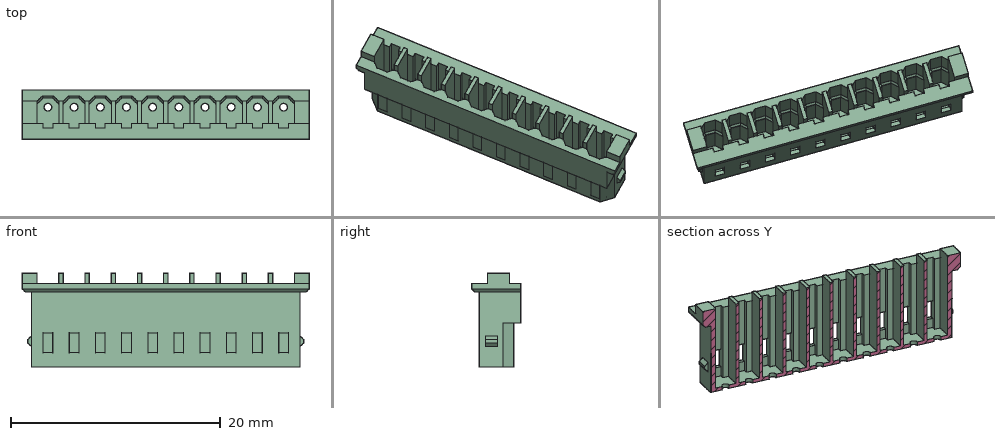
import cadquery as cq
import math


contact_count = 10
contact_row_span = 22.5
pitch = contact_row_span / (contact_count - 1)

length = 27.4
depth = 4.7
height = 9.0

flange_top = 8.0
flange_bottom = 7.18
flange_chamfer = 0.3

body_length = 25.67
body_front = 0.7
step_height = 4.22
step_depth = 0.68
step_corner_chamfer = 1.05
lower_back = depth - step_depth

ridge_front = 1.5
ridge_depth = 2.15
ridge_back = ridge_front + ridge_depth

divider_width = 0.38
pocket_width = pitch - divider_width
pocket_corner_chamfer = 0.52
pocket_back = 4.15
pocket_floor = 0.4
ledge_height = 4.65
ledge_width = 0.2
pin_hole_diameter = 0.7
pin_hole_y = 3.07

slot_width = 0.93
slot_front = 1.1
window_bottom = 1.4
window_height = 1.9

bump_reach = 0.35
bump_front = 1.32
bump_width = 1.18
bump_bottom = 1.97
bump_height = 1.01

contact_xs = [(i - (contact_count - 1) / 2) * pitch for i in range(contact_count)]


def box(width, front, back, bottom, top):
    """Box centred on X = 0, between the given Y and Z limits."""
    block = cq.Workplane("XY").box(width, back - front, top - bottom, centered=(True, False, False))
    return block.translate((0, front, bottom))


def make_flange():
    """Flange plate, bevelled under its front and its two ends."""
    plate = box(length, 0, depth, flange_bottom, flange_top)
    return plate.faces("<Z").edges("<Y or <X or >X").chamfer(flange_chamfer)


def make_body():
    """Full-depth upper body on a shallower lower body with bevelled rear corners."""
    upper = box(body_length, body_front, depth, step_height, flange_bottom)
    lower = box(body_length, body_front, lower_back, 0, step_height)
    lower = lower.edges("|Z and >Y").chamfer(step_corner_chamfer)
    return upper.union(lower)


def make_bump(side):
    """Snap bump on one end; side is -1 or +1."""
    root = side * body_length / 2
    tip = root + side * bump_reach
    bump_top = bump_bottom + bump_height
    profile = [
        (root, bump_bottom),
        (tip, bump_bottom + bump_reach),
        (tip, bump_top - bump_reach),
        (root, bump_top),
    ]
    bump = cq.Workplane("XZ").polyline(profile).close().extrude(-bump_width)
    return bump.translate((0, bump_front, 0))


def make_pocket(back, corner_chamfer, bottom, top):
    """Contact pocket with bevelled rear corners."""
    pocket = box(pocket_width, ridge_front, back, bottom, top)
    return pocket.edges("|Z and >Y").chamfer(corner_chamfer)


def make_cavity():
    """Everything removed for one contact, centred on X = 0."""
    upper = make_pocket(pocket_back, pocket_corner_chamfer, ledge_height, height)
    rear_ledge_edges = cq.selectors.BoxSelector(
        (-pocket_width, ridge_back - pocket_corner_chamfer / 2, ledge_height - ledge_width),
        (pocket_width, depth, ledge_height + ledge_width),
    )
    upper = upper.edges(rear_ledge_edges).chamfer(ledge_width)

    lower_corner_chamfer = pocket_corner_chamfer + ledge_width * (math.sqrt(2) - 1)
    lower = make_pocket(pocket_back - ledge_width, lower_corner_chamfer, pocket_floor, ledge_height)

    slot = box(slot_width, slot_front, ridge_front, pocket_floor, height)
    window = box(slot_width, body_front, slot_front, window_bottom, window_bottom + window_height)
    hole = cq.Workplane("XY").center(0, pin_hole_y).circle(pin_hole_diameter / 2).extrude(height)
    return upper.union(lower).union(slot).union(window).union(hole)


ridge = box(length, ridge_front, ridge_back, flange_top, height)
housing = make_flange().union(make_body()).union(ridge)
for side in (-1, 1):
    housing = housing.union(make_bump(side))

cavity = make_cavity()
for x in contact_xs:
    housing = housing.cut(cavity.translate((x, 0, 0)))
result = housing